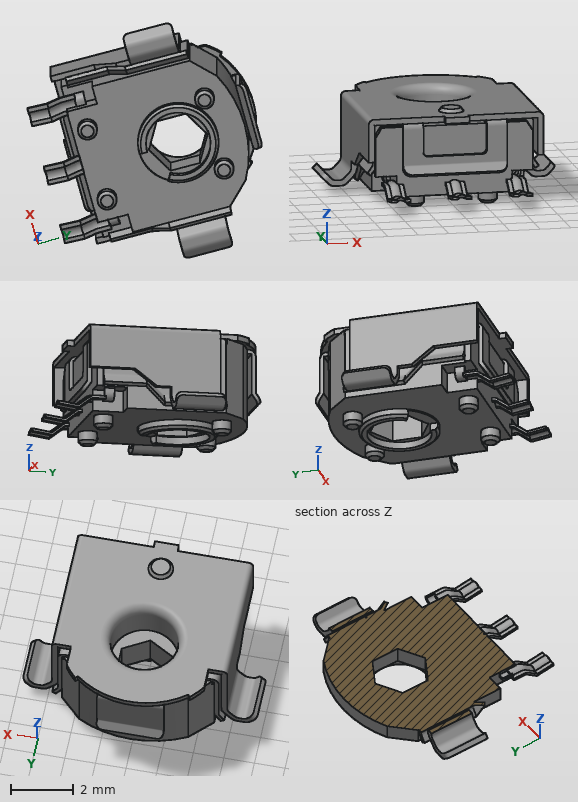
import cadquery as cq
import math


BODY_HALF_X = 2.49
BODY_FRONT_Y = -3.19
BODY_REAR_Y = 2.2
BODY_TOP_Z = 2.29
REAR_CORNER_X = 1.78
REAR_CORNER_Y = 1.765
RAISED_REAR_Y = 1.1
FLANGE_HALF_X = 2.58
FLANGE_DEPTH = 0.2
BASE_HEIGHT = 0.69
FLANGE_CHAMFER_X = 0.19
FLANGE_CHAMFER_Z = 0.31
NOTCH_INNER_X = 1.895
NOTCH_REAR_Y = -2.185

BORE_RADIUS = 1.09
UNDERCUT_TOP_Z = 1.43
UNDERCUT_FLOOR_Z = 1.03
UNDERCUT_RADIUS = 1.69
HEX_ACROSS_FLATS = 1.69
ROTOR_DROP = 0.28
DISC_THICKNESS = 0.045
RING_RADIUS = 1.3
RING_INNER_RADIUS = 1.035
RING_CHAMFER = 0.09
RING_GAP_START = 209.5
RING_GAP_END = 270.0

PEG_X = 1.2
PEG_YS = (1.2, -2.69)
PEG_RADIUS = 0.31
PEG_LENGTH = 0.4
PEG_CHAMFER = 0.11

FRAME_SHEET = 0.14
FRAME_HALF_X = BODY_HALF_X + FRAME_SHEET
FRAME_TOP_Z = 2.455
FRAME_FRONT_Y = BODY_FRONT_Y + FLANGE_DEPTH
FRAME_REAR_Y = 1.02
FRAME_BEND = 0.23
FLARE_Z = 1.035
FLARE_OUT = 0.185
FLARE_DROP = 0.26
TAB_FLARE_BEND = 0.08
SIDE_FLARE_BEND = 0.17
LIP_STEP = 0.6
LIP_STEP_Y = -1.61
FRONT_TAB_HALF_X = 1.7
FRONT_TAB_CORNER = 0.27
REAR_TAB_HALF_X = 1.09
REAR_TAB_CORNER = 0.2
WINDOW_HALF_X = 1.04
WINDOW_BOTTOM_Z = 1.31
WINDOW_CORNER = 0.15

COVER_SHEET = 0.19
COVER_HALF_X = 2.87
COVER_TOP_Z = FRAME_TOP_Z + COVER_SHEET
COVER_FRONT_Y = -3.475
COVER_BEND = 0.17
SHOULDER_Y = 0.79
NECK_HALF_X = 2.25
EAR_RADIUS = 2.7
EAR_TIP_X = 1.87
CROWN_HALF_X = 1.8
CROWN_SIDE_Y = 1.87
COVER_REAR_Y = 2.5
COVER_TAB_HALF_X = 0.39
COVER_TAB_Y = -3.7
LIP_RADIUS = 0.31
SKIRT_FRONT_Z = 1.235
SKIRT_SLOPE_FRONT_Y = -2.025
SKIRT_SLOPE_REAR_Y = -1.3
FOOT_FRONT_Y = -0.81
FOOT_BEND_Z = 0.39
FOOT_FLAT_Z = 0.09
FOOT_FLAT_END_X = 3.45
FOOT_HALF_SPAN = 3.835
FOOT_CORNER = 0.185
FOOT_UPPER_BEND = 0.185
FOOT_LOWER_BEND = 0.26
WALL_INNER_BEND = 0.07
STUD_Y = -2.69
STUD_RADIUS = 0.4
STUD_HEIGHT = 0.115
STUD_NARROWING = 0.09

TERMINAL_PITCH = 2.0
TERMINAL_HALF_X = 0.31
TERMINAL_SHEET = 0.085
RIB_HEIGHT = 0.07
RIB_HALF_FOOT = 0.16
TERMINAL_ROOT = (-2.84, 0.33)
TERMINAL_BEND = (-3.3, 0.33)
TERMINAL_HEEL = (-3.73, 0.0)
TERMINAL_TIP = (-4.395, 0.1)
TERMINAL_BEND_RUN = 0.07
LEAD_OUTER_X = 2.25
LEAD_BEND = 0.23
LEAD_REAR_Y = -2.55
LEAD_FRONT_Y = -2.87


def ribbon(path, thickness):
    """Closed outline of a bent sheet: the path is one face, the other lies to its left."""
    headings = [math.atan2(b[1] - a[1], b[0] - a[0]) for a, b in zip(path, path[1:])]
    before = [headings[0]] + headings
    after = headings + [headings[-1]]
    far_side = []
    for (u, v), h0, h1 in zip(path, before, after):
        normal = (h0 + h1) / 2 + math.pi / 2
        reach = thickness / math.cos((h1 - h0) / 2)
        far_side.append((u + reach * math.cos(normal), v + reach * math.sin(normal)))
    return path + far_side[::-1]


def block(x0, x1, y0, y1, z0, z1):
    return cq.Workplane("XY").box(x1 - x0, y1 - y0, z1 - z0, centered=False).translate((x0, y0, z0))


def along_x(outline, half_width):
    """Extrude a (y, z) outline symmetrically about X = 0."""
    return cq.Workplane("YZ").polyline(outline).close().extrude(half_width, both=True)


def along_y(outline, y_front, y_rear):
    """Extrude an (x, z) outline between two Y places."""
    solid = cq.Workplane("XZ").polyline(outline).close().extrude(y_rear - y_front)
    return solid.translate((0, y_rear, 0))


def both_sides(solid):
    return solid.union(solid.mirror("YZ"))


def body():
    side_y = REAR_CORNER_Y - (BODY_HALF_X - REAR_CORNER_X)
    plan = (
        cq.Workplane("XY")
        .moveTo(-BODY_HALF_X, BODY_FRONT_Y)
        .lineTo(BODY_HALF_X, BODY_FRONT_Y)
        .lineTo(BODY_HALF_X, side_y)
        .lineTo(REAR_CORNER_X, REAR_CORNER_Y)
        .threePointArc((0, BODY_REAR_Y), (-REAR_CORNER_X, REAR_CORNER_Y))
        .lineTo(-BODY_HALF_X, side_y)
        .close()
    )
    solid = plan.extrude(FRAME_TOP_Z)
    solid = solid.cut(
        block(-BODY_HALF_X, BODY_HALF_X, BODY_FRONT_Y, RAISED_REAR_Y, BODY_TOP_Z, FRAME_TOP_Z)
    )
    chamfer_x = FLANGE_HALF_X - FLANGE_CHAMFER_X
    chamfer_z = BODY_TOP_Z - FLANGE_CHAMFER_Z
    flange = [
        (-FLANGE_HALF_X, BASE_HEIGHT),
        (FLANGE_HALF_X, BASE_HEIGHT),
        (FLANGE_HALF_X, chamfer_z),
        (chamfer_x, BODY_TOP_Z),
        (-chamfer_x, BODY_TOP_Z),
        (-FLANGE_HALF_X, chamfer_z),
    ]
    solid = solid.cut(
        block(-BODY_HALF_X, BODY_HALF_X, BODY_FRONT_Y, FRAME_FRONT_Y, BASE_HEIGHT, BODY_TOP_Z)
    )
    solid = solid.union(along_y(flange, BODY_FRONT_Y, FRAME_FRONT_Y))
    notch = block(NOTCH_INNER_X, BODY_HALF_X, BODY_FRONT_Y, NOTCH_REAR_Y, 0, BASE_HEIGHT)
    return solid.cut(both_sides(notch))


def rotor_underside():
    """Thin disc carrying a deeper ring that is open over one sector."""
    disc = cq.Workplane("XY").circle(RING_RADIUS).extrude(-DISC_THICKNESS)
    ring = cq.Workplane("XY").circle(RING_RADIUS).extrude(-ROTOR_DROP).faces("<Z").chamfer(RING_CHAMFER)
    ring = ring.cut(cq.Workplane("XY").circle(RING_INNER_RADIUS).extrude(-ROTOR_DROP))
    reach = 2 * RING_RADIUS
    gap_rays = [math.radians(a) for a in (RING_GAP_START, RING_GAP_END)]
    gap = (
        cq.Workplane("XY")
        .polyline([(0, 0)] + [(reach * math.cos(a), reach * math.sin(a)) for a in gap_rays])
        .close()
        .extrude(-ROTOR_DROP)
    )
    return disc.union(ring.cut(gap))


def pegs():
    places = [(x, y) for x in (-PEG_X, PEG_X) for y in PEG_YS]
    return (
        cq.Workplane("XY").pushPoints(places).circle(PEG_RADIUS).extrude(-PEG_LENGTH)
        .faces("<Z").chamfer(PEG_CHAMFER)
    )


def folded_tab(start_y, outer_y, half_x, corner):
    """Frame tab on the -Y side, folded down and ending in a flared lip with rounded corners."""
    path = [
        (start_y, FRAME_TOP_Z),
        (outer_y, FRAME_TOP_Z),
        (outer_y, FLARE_Z),
        (outer_y - FLARE_OUT, FLARE_Z - FLARE_DROP),
    ]
    tab = along_x(ribbon(path, FRAME_SHEET), half_x)
    tab = tab.edges(cq.NearestToPointSelector((0, outer_y, FRAME_TOP_Z))).fillet(FRAME_BEND)
    tab = tab.edges(cq.NearestToPointSelector((0, outer_y, FLARE_Z))).fillet(TAB_FLARE_BEND)
    lip_normal = cq.Vector(0, FLARE_DROP, -FLARE_OUT)
    return tab.edges(cq.selectors.ParallelDirSelector(lip_normal)).fillet(corner)


def side_flare():
    """Right-hand lip of the frame: high at the front, stepping down at 45 degrees to the rear."""
    lip = ribbon(
        [
            (FRAME_HALF_X + FLARE_OUT, FLARE_Z - FLARE_DROP),
            (FRAME_HALF_X, FLARE_Z),
            (FRAME_HALF_X, FLARE_Z + FRAME_SHEET),
        ],
        FRAME_SHEET,
    )
    step_end_y = LIP_STEP_Y + LIP_STEP
    bend = cq.NearestToPointSelector((FRAME_HALF_X, (FRAME_FRONT_Y + LIP_STEP_Y) / 2, FLARE_Z))
    high = along_y(lip, FRAME_FRONT_Y, LIP_STEP_Y).edges(bend).fillet(SIDE_FLARE_BEND)
    slant = cq.Solid.extrudeLinear(high.faces(">Y").val(), cq.Vector(0, LIP_STEP, -LIP_STEP))
    bend = cq.NearestToPointSelector((FRAME_HALF_X, (step_end_y + FRAME_REAR_Y) / 2, FLARE_Z))
    low = along_y(lip, step_end_y, FRAME_REAR_Y).edges(bend).fillet(SIDE_FLARE_BEND)
    low = low.translate((0, 0, -LIP_STEP))
    return high.union(cq.Workplane(obj=slant)).union(low)


def frame():
    shell = along_y(
        [(-FRAME_HALF_X, 0), (FRAME_HALF_X, 0), (FRAME_HALF_X, FRAME_TOP_Z), (-FRAME_HALF_X, FRAME_TOP_Z)],
        FRAME_FRONT_Y,
        FRAME_REAR_Y,
    )
    shell = shell.edges("|Y and >Z").fillet(FRAME_BEND)
    shell = shell.cut(block(-BODY_HALF_X, BODY_HALF_X, FRAME_FRONT_Y, FRAME_REAR_Y, 0, BODY_TOP_Z))
    below_walls = [
        (FRAME_FRONT_Y, 0),
        (FRAME_FRONT_Y, FLARE_Z),
        (LIP_STEP_Y, FLARE_Z),
        (LIP_STEP_Y + LIP_STEP, FLARE_Z - LIP_STEP),
        (FRAME_REAR_Y, FLARE_Z - LIP_STEP),
        (FRAME_REAR_Y, 0),
    ]
    shell = shell.cut(along_x(below_walls, FRAME_HALF_X)).union(both_sides(side_flare()))
    front_tab = folded_tab(
        FRAME_FRONT_Y, BODY_FRONT_Y - FRAME_SHEET, FRONT_TAB_HALF_X, FRONT_TAB_CORNER
    )
    rear_tab = folded_tab(
        -FRAME_REAR_Y, -BODY_REAR_Y - FRAME_SHEET, REAR_TAB_HALF_X, REAR_TAB_CORNER
    ).mirror("XZ")
    window = block(
        -WINDOW_HALF_X, WINDOW_HALF_X, COVER_FRONT_Y, 0, WINDOW_BOTTOM_Z, FRAME_TOP_Z
    ).edges("|Y and <Z").fillet(WINDOW_CORNER)
    return shell.union(front_tab).cut(window).union(rear_tab)


def foot():
    """Right-hand solder foot: wall, 45 degree fold, flat and turned-up tip."""
    tip_x = FOOT_HALF_SPAN - COVER_SHEET * math.sqrt(0.5)
    flat_start_x = COVER_HALF_X + FOOT_BEND_Z - FOOT_FLAT_Z
    path = [
        (tip_x, FOOT_FLAT_Z + tip_x - FOOT_FLAT_END_X),
        (FOOT_FLAT_END_X, FOOT_FLAT_Z),
        (flat_start_x, FOOT_FLAT_Z),
        (COVER_HALF_X, FOOT_BEND_Z),
        (COVER_HALF_X, SKIRT_FRONT_Z),
    ]
    outline = ribbon(path, COVER_SHEET)
    strip = along_y(outline, FOOT_FRONT_Y, SHOULDER_Y)
    upper_bends = (FOOT_UPPER_BEND, FOOT_UPPER_BEND, WALL_INNER_BEND + COVER_SHEET)
    lower_bends = (FOOT_LOWER_BEND, FOOT_LOWER_BEND, WALL_INNER_BEND)
    middle_y = (FOOT_FRONT_Y + SHOULDER_Y) / 2
    kinks = zip(outline[1:4] + outline[-2:-5:-1], upper_bends + lower_bends)
    for (x, z), radius in kinks:
        strip = strip.edges(cq.NearestToPointSelector((x, middle_y, z))).fillet(radius)
    sloping_edges = strip.edges(cq.selectors.ParallelDirSelector(cq.Vector(1, 0, -1)))
    return sloping_edges.edges(">X").fillet(FOOT_CORNER)


def cover_plan():
    ear_tip_y = math.sqrt(EAR_RADIUS**2 - EAR_TIP_X**2)
    ear_root_y = math.sqrt(EAR_RADIUS**2 - NECK_HALF_X**2)
    ear_mid = (math.atan2(ear_tip_y, EAR_TIP_X) + math.atan2(ear_root_y, NECK_HALF_X)) / 2
    ear_mid_x = EAR_RADIUS * math.cos(ear_mid)
    ear_mid_y = EAR_RADIUS * math.sin(ear_mid)
    return (
        cq.Workplane("XY")
        .moveTo(NECK_HALF_X, 0)
        .lineTo(NECK_HALF_X, ear_root_y)
        .threePointArc((ear_mid_x, ear_mid_y), (EAR_TIP_X, ear_tip_y))
        .lineTo(CROWN_HALF_X, CROWN_SIDE_Y)
        .threePointArc((0, COVER_REAR_Y), (-CROWN_HALF_X, CROWN_SIDE_Y))
        .lineTo(-EAR_TIP_X, ear_tip_y)
        .threePointArc((-ear_mid_x, ear_mid_y), (-NECK_HALF_X, ear_root_y))
        .lineTo(-NECK_HALF_X, 0)
        .close()
    )


def cover():
    skirt_inner_x = COVER_HALF_X - COVER_SHEET
    shell = block(-COVER_HALF_X, COVER_HALF_X, COVER_FRONT_Y, SHOULDER_Y, 0, COVER_TOP_Z)
    shell = shell.edges("|Y and >Z").fillet(COVER_BEND)
    shell = shell.cut(
        block(-skirt_inner_x, skirt_inner_x, COVER_FRONT_Y, SHOULDER_Y, 0, FRAME_TOP_Z)
    )
    below_skirts = [
        (COVER_FRONT_Y, 0),
        (COVER_FRONT_Y, SKIRT_FRONT_Z),
        (SKIRT_SLOPE_FRONT_Y, SKIRT_FRONT_Z),
        (SKIRT_SLOPE_REAR_Y, BASE_HEIGHT),
        (SHOULDER_Y, BASE_HEIGHT),
        (SHOULDER_Y, 0),
    ]
    shell = shell.cut(along_x(below_skirts, COVER_HALF_X)).union(both_sides(foot()))
    rear = cover_plan().extrude(COVER_SHEET).translate((0, 0, FRAME_TOP_Z))
    tab = block(
        -COVER_TAB_HALF_X, COVER_TAB_HALF_X, COVER_TAB_Y, COVER_FRONT_Y, FRAME_TOP_Z, COVER_TOP_Z
    )
    stud = (
        cq.Workplane("XY", origin=(0, STUD_Y, COVER_TOP_Z))
        .circle(STUD_RADIUS)
        .extrude(STUD_HEIGHT, taper=math.degrees(math.atan(STUD_NARROWING / STUD_HEIGHT)))
    )
    collar = (
        cq.Workplane("XY", origin=(0, 0, BODY_TOP_Z))
        .circle(BORE_RADIUS + COVER_SHEET).extrude(COVER_TOP_Z - BODY_TOP_Z)
    )
    return shell.union(rear).union(tab).union(stud).union(collar)


def drive_bore():
    """Round bore with a rolled mouth, over a wider chamber whose floor the hexagon pierces."""
    mouth_z = COVER_TOP_Z - LIP_RADIUS
    mouth_radius = BORE_RADIUS + LIP_RADIUS
    slope = LIP_RADIUS * math.sqrt(0.5)
    bore = (
        cq.Workplane("XZ")
        .moveTo(0, UNDERCUT_FLOOR_Z)
        .lineTo(UNDERCUT_RADIUS, UNDERCUT_FLOOR_Z)
        .lineTo(UNDERCUT_RADIUS, UNDERCUT_TOP_Z)
        .lineTo(BORE_RADIUS, UNDERCUT_TOP_Z)
        .lineTo(BORE_RADIUS, mouth_z)
        .threePointArc((mouth_radius - slope, mouth_z + slope), (mouth_radius, COVER_TOP_Z))
        .lineTo(0, COVER_TOP_Z)
        .close()
        .revolve(360, (0, 0, 0), (0, 1, 0))
    )
    hexagon = (
        cq.Workplane("XY", origin=(0, 0, -DISC_THICKNESS))
        .polygon(6, HEX_ACROSS_FLATS / math.cos(math.pi / 6))
        .extrude(DISC_THICKNESS + UNDERCUT_FLOOR_Z)
        .rotate((0, 0, 0), (0, 0, 1), 30)
    )
    return bore.union(hexagon)


def terminal():
    """Bent strip with an arched stiffening rib along its middle."""
    rib_z = TERMINAL_SHEET + RIB_HEIGHT
    root_y, root_z = TERMINAL_ROOT
    bend_y, bend_z = TERMINAL_BEND
    heel_y, heel_z = TERMINAL_HEEL
    fall = TERMINAL_BEND_RUN / math.hypot(heel_y - bend_y, heel_z - bend_z)
    bend_end = (bend_y + fall * (heel_y - bend_y), bend_z + fall * (heel_z - bend_z))
    path = (
        cq.Workplane("YZ")
        .moveTo(root_y, root_z)
        .lineTo(bend_y + TERMINAL_BEND_RUN, bend_z)
        .tangentArcPoint(bend_end, relative=False)
        .lineTo(heel_y, heel_z)
        .lineTo(*TERMINAL_TIP)
    )
    section = (
        cq.Workplane("XZ", origin=(0, root_y, root_z))
        .moveTo(-TERMINAL_HALF_X, 0)
        .lineTo(-RIB_HALF_FOOT, 0)
        .threePointArc((0, RIB_HEIGHT), (RIB_HALF_FOOT, 0))
        .lineTo(TERMINAL_HALF_X, 0)
        .lineTo(TERMINAL_HALF_X, TERMINAL_SHEET)
        .lineTo(RIB_HALF_FOOT, TERMINAL_SHEET)
        .threePointArc((0, rib_z), (-RIB_HALF_FOOT, TERMINAL_SHEET))
        .lineTo(-TERMINAL_HALF_X, TERMINAL_SHEET)
        .close()
    )
    return section.sweep(path, transition="right")


def lead():
    """Right-hand curved lead that joins an outer terminal to the body above its pocket."""
    bottom_z = TERMINAL_ROOT[1]
    inner_x = LEAD_OUTER_X - TERMINAL_SHEET
    inner_z = bottom_z + TERMINAL_SHEET
    bend_x = LEAD_OUTER_X - LEAD_BEND
    bend_z = bottom_z + LEAD_BEND
    diagonal = math.sqrt(0.5)
    inner_bend = LEAD_BEND - TERMINAL_SHEET
    outline = (
        cq.Workplane("XZ", origin=(0, LEAD_REAR_Y, 0))
        .moveTo(NOTCH_INNER_X, bottom_z)
        .lineTo(bend_x, bottom_z)
        .threePointArc(
            (bend_x + LEAD_BEND * diagonal, bend_z - LEAD_BEND * diagonal), (LEAD_OUTER_X, bend_z)
        )
        .lineTo(LEAD_OUTER_X, BASE_HEIGHT)
        .lineTo(inner_x, BASE_HEIGHT)
        .lineTo(inner_x, bend_z)
        .threePointArc(
            (bend_x + inner_bend * diagonal, bend_z - inner_bend * diagonal), (bend_x, inner_z)
        )
        .lineTo(NOTCH_INNER_X, inner_z)
        .close()
    )
    return outline.extrude(LEAD_REAR_Y - LEAD_FRONT_Y)


result = body().union(rotor_underside()).union(pegs()).union(frame()).union(cover()).cut(drive_bore())
for side in (-1, 0, 1):
    result = result.union(terminal().translate((side * TERMINAL_PITCH, 0, 0)))
result = result.union(both_sides(lead()))